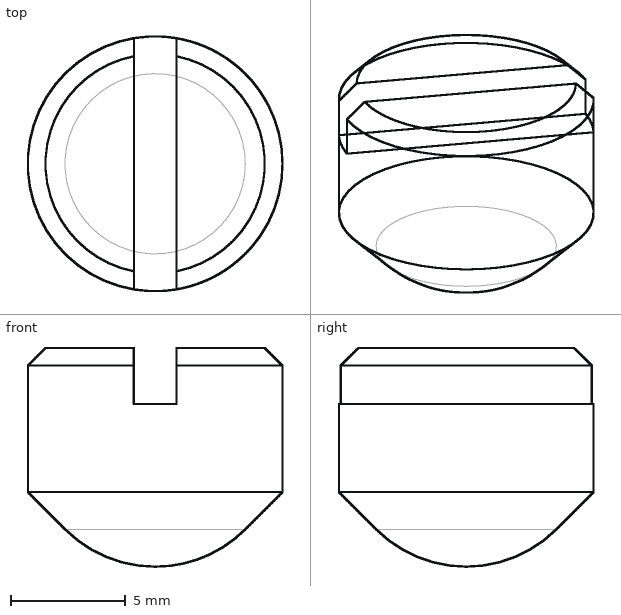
import cadquery as cq
import math

body_radius = 5.55
total_height = 9.53
top_chamfer = 0.78

dome_radius = body_radius
cone_angle = math.radians(45)

slot_width = 1.84
slot_depth = 2.44

dome_edge_radius = dome_radius * math.sin(cone_angle)
dome_height = dome_radius * (1 - math.cos(cone_angle))
cone_height = (body_radius - dome_edge_radius) * math.tan(cone_angle)
shoulder_z = dome_height + cone_height

mid_angle = cone_angle / 2
dome_mid_point = (
    dome_radius * math.sin(mid_angle),
    dome_radius * (1 - math.cos(mid_angle)),
)


def make_body():
    """Revolve the half profile around the Z axis."""
    return (
        cq.Workplane("XZ")
        .moveTo(0, 0)
        .threePointArc(dome_mid_point, (dome_edge_radius, dome_height))
        .lineTo(body_radius, shoulder_z)
        .lineTo(body_radius, total_height - top_chamfer)
        .lineTo(body_radius - top_chamfer, total_height)
        .lineTo(0, total_height)
        .close()
        .revolve(360, (0, 0, 0), (0, 1, 0))
    )


def make_slot():
    """Block that cuts the slot across the full diameter."""
    return (
        cq.Workplane("XY")
        .workplane(offset=total_height - slot_depth)
        .rect(slot_width, 2 * body_radius)
        .extrude(slot_depth)
    )


result = make_body().cut(make_slot())